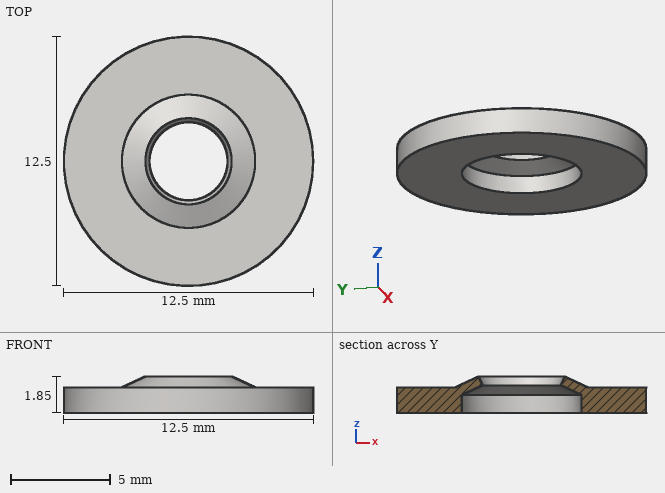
import cadquery as cq
import math

disc_diameter = 12.5
disc_thickness = 1.3

total_height = 1.85
throat_diameter = 3.9
collar_wall = 0.5
collar_slope = math.radians(25)

recess_diameter = 6.0

disc_radius = disc_diameter / 2
throat_radius = throat_diameter / 2
recess_radius = recess_diameter / 2

rim_radius = throat_radius + collar_wall * math.sin(collar_slope)
throat_height = total_height - collar_wall * math.cos(collar_slope)

collar_base_radius = rim_radius + (total_height - disc_thickness) / math.tan(collar_slope)

recess_wall_height = throat_height - (recess_radius - throat_radius) * math.tan(collar_slope)


def make_washer():
    """Revolve the half section, drawn as (radius, height), about the Z axis."""
    half_section = [
        (recess_radius, 0),
        (disc_radius, 0),
        (disc_radius, disc_thickness),
        (collar_base_radius, disc_thickness),
        (rim_radius, total_height),
        (throat_radius, throat_height),
        (recess_radius, recess_wall_height),
    ]
    axis_start = (0, 0)
    axis_end = (0, 1)
    return (
        cq.Workplane("XZ")
        .polyline(half_section)
        .close()
        .revolve(360, axis_start, axis_end)
    )


result = make_washer()